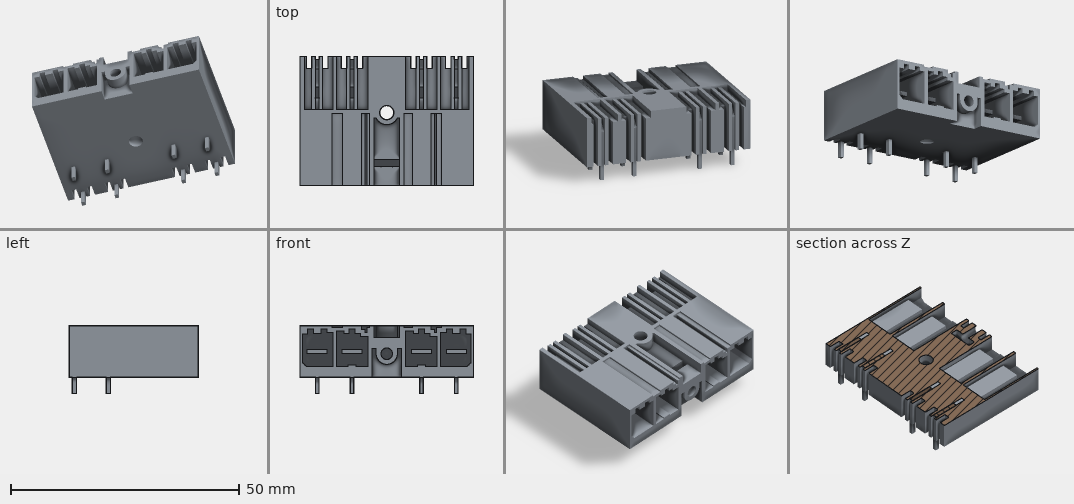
import cadquery as cq

LENGTH = 38.1
DEPTH = 28.3
HEIGHT = 11.35

PITCH = 7.62
CONTACT_XS = [step * PITCH for step in (-2, -1, 1, 2)]

CAVITY_DEPTH = 15.77
CAVITY_FLOOR = 2.4
CAVITY_ROOF = 9.65
KEYWAY_TOP = 10.63
KEYWAY_WIDTH = 1.3
OUTER_CAVITY_NEAR = 11.8
OUTER_CAVITY_FAR = 18.5
OUTER_KEYWAY_INNER = 13.05
OUTER_KEYWAY_OUTER = 16.05
OUTER_ROOF_NEAR = 9.8
OUTER_ROOF_FAR = 9.52
OUTER_CORNER_CUT = 0.88
INNER_CAVITY_NEAR = 4.15
INNER_CAVITY_FAR = 10.97
INNER_ROOF_HIGH = 10.2
INNER_ROOF_LOW = 8.9
INNER_HIGH_END = -1.7
INNER_LOW_START = 1.85
RIDGE_WIDTH = 1.83
RIDGE_HEIGHT = 0.3

SHALLOW_DEPTH = 0.42
GROOVE_LEDGE_DEPTH = 0.85
GROOVE_BOTTOM_DEPTH = 1.55
GROOVE_START = 2.05
GROOVE_DEEP_START = 2.82
GROOVE_DEEP_END = 3.3
GROOVE_INSIDE = 3.75
GROOVE_OUTSIDE = 11.95
LEFT_GROOVE_END = -9.68
RIGHT_GROOVE_END = 5.6

CHAMBER_FRONT = 16.65
CHAMBER_FLOOR = 9.75
OUTER_CHAMBER_FAR = 18.02
FIN_TOP = 10.95
FIN_WIDTH = 0.8
REAR_SLOT_WIDTH = 4.65
REAR_SLOT_FRONT = 25.68

PLATE_THICKNESS = 0.8
PLATE_FRONT = 19.2
PLATE_STEP = 21.6
PLATE_BEVEL_START = 25.55
PLATE_REAR = 27.65
PLATE_TOP = CHAMBER_FLOOR
LEG_WIDTH = 1.0
LEG_LENGTH = 3.55
BLADE_WIDTH = 4.4
BLADE_BOTTOM = 5.22
BLADE_THICKNESS = 0.88
BLADE_TIP = 4.95
BLADE_TOP = BLADE_BOTTOM + BLADE_THICKNESS

BOLT_Y = 16.0
BOLT_RADIUS = 1.52
BOLT_BOSS_RADIUS = 2.63
TOP_RECESS_WIDTH = 5.55
TOP_RECESS_REAR = 14.8
TOP_RECESS_FLOOR = 8.75
NUT_SLOT_FRONT = 4.2
NUT_SLOT_REAR = 5.75
SCREW_Z = 5.2
SCREW_RADIUS = 1.25
SCREW_BOSS_RADIUS = 2.32
FRONT_RECESS_WIDTH = 6.4
FRONT_RECESS_HEIGHT = 6.35
FRONT_RECESS_DEPTH = 2.5


def box(x_range, y_range, z_range):
    """Block spanning the given (low, high) limits on each axis."""
    sizes = [high - low for low, high in (x_range, y_range, z_range)]
    return cq.Workplane().box(*sizes, centered=False).translate((x_range[0], y_range[0], z_range[0]))


def around(centre, width):
    """(low, high) limits of a width centred on a position."""
    return (centre - width / 2, centre + width / 2)


def from_front(points, depth):
    """Prism with an X-Z outline, running from the front face towards +Y."""
    return cq.Workplane("XZ").polyline(points).close().extrude(-depth)


def outer_cavity():
    """Cavity at the +X end: two keyways in the roof and one cut floor corner."""
    inner_end = OUTER_KEYWAY_INNER + KEYWAY_WIDTH
    outer_end = OUTER_KEYWAY_OUTER + KEYWAY_WIDTH
    outline = [
        (OUTER_CAVITY_NEAR, CAVITY_FLOOR),
        (OUTER_CAVITY_NEAR, OUTER_ROOF_NEAR),
        (OUTER_KEYWAY_INNER, OUTER_ROOF_NEAR),
        (OUTER_KEYWAY_INNER, KEYWAY_TOP),
        (inner_end, KEYWAY_TOP),
        (inner_end, CAVITY_ROOF),
        (OUTER_KEYWAY_OUTER, CAVITY_ROOF),
        (OUTER_KEYWAY_OUTER, KEYWAY_TOP),
        (outer_end, KEYWAY_TOP),
        (outer_end, OUTER_ROOF_FAR),
        (OUTER_CAVITY_FAR, OUTER_ROOF_FAR),
        (OUTER_CAVITY_FAR, CAVITY_FLOOR + OUTER_CORNER_CUT),
        (OUTER_CAVITY_FAR - OUTER_CORNER_CUT, CAVITY_FLOOR),
    ]
    return from_front(outline, CAVITY_DEPTH)


def inner_cavity(contact_x, left, right):
    """Cavity beside the screw block: stepped roof, one keyway and a floor ridge."""
    high_end = contact_x + INNER_HIGH_END
    low_start = contact_x + INNER_LOW_START
    key_left, key_right = around(contact_x, KEYWAY_WIDTH)
    outline = [
        (left, CAVITY_FLOOR),
        (left, INNER_ROOF_HIGH),
        (high_end, INNER_ROOF_HIGH),
        (high_end, CAVITY_ROOF),
        (key_left, CAVITY_ROOF),
        (key_left, KEYWAY_TOP),
        (key_right, KEYWAY_TOP),
        (key_right, CAVITY_ROOF),
        (low_start, CAVITY_ROOF),
        (low_start, INNER_ROOF_LOW),
        (right, INNER_ROOF_LOW),
        (right, CAVITY_FLOOR),
    ]
    ridge = box(
        around(contact_x, RIDGE_WIDTH), (0, CAVITY_DEPTH), (CAVITY_FLOOR, CAVITY_FLOOR + RIDGE_HEIGHT)
    )
    return from_front(outline, CAVITY_DEPTH).cut(ridge)


def shallow_groove(left, right):
    """Plain coding groove in the top face."""
    return box((left, right), (0, CAVITY_DEPTH), (HEIGHT - SHALLOW_DEPTH, HEIGHT))


def stepped_groove(contact_x, right):
    """Coding groove with a ledge, a deep channel and a shallow shelf up to its right end."""
    outline = [
        (contact_x + GROOVE_START, HEIGHT),
        (contact_x + GROOVE_START, HEIGHT - GROOVE_LEDGE_DEPTH),
        (contact_x + GROOVE_DEEP_START, HEIGHT - GROOVE_LEDGE_DEPTH),
        (contact_x + GROOVE_DEEP_START, HEIGHT - GROOVE_BOTTOM_DEPTH),
        (contact_x + GROOVE_DEEP_END, HEIGHT - GROOVE_BOTTOM_DEPTH),
        (contact_x + GROOVE_DEEP_END, HEIGHT - SHALLOW_DEPTH),
        (right, HEIGHT - SHALLOW_DEPTH),
        (right, HEIGHT),
    ]
    return from_front(outline, CAVITY_DEPTH)


def rear_chamber(contact_x, left, right):
    """Space removed behind one contact: chamber and rear slot, less the two guide fins."""
    rear_slot = box(around(contact_x, REAR_SLOT_WIDTH), (REAR_SLOT_FRONT, DEPTH), (0, CHAMBER_FLOOR))
    fins = box(
        around(contact_x, PLATE_THICKNESS + 2 * FIN_WIDTH), (CHAMBER_FRONT, DEPTH), (0, FIN_TOP)
    )
    fin_gap = box(around(contact_x, PLATE_THICKNESS), (CHAMBER_FRONT, DEPTH), (CHAMBER_FLOOR, FIN_TOP))
    plate_slot = box(around(contact_x, PLATE_THICKNESS), (PLATE_FRONT, DEPTH), (0, CHAMBER_FLOOR))
    chamber = box((left, right), (CHAMBER_FRONT, DEPTH), (CHAMBER_FLOOR, HEIGHT))
    return chamber.union(rear_slot).cut(fins).union(fin_gap).union(plate_slot)


def top_recess():
    """Recess in front of the bolt boss, with a deeper slot that takes the screw's nut."""
    span = around(0, TOP_RECESS_WIDTH)
    recess = box(span, (0, TOP_RECESS_REAR), (TOP_RECESS_FLOOR, HEIGHT))
    boss = cq.Workplane().center(0, BOLT_Y).circle(BOLT_BOSS_RADIUS).extrude(HEIGHT)
    nut_slot = box(span, (NUT_SLOT_FRONT, NUT_SLOT_REAR), (SCREW_Z - SCREW_BOSS_RADIUS, HEIGHT))
    return recess.cut(boss).union(nut_slot)


def front_recess():
    """Recess in the lower front, open below, around the U-shaped screw boss."""
    recess = box(around(0, FRONT_RECESS_WIDTH), (0, FRONT_RECESS_DEPTH), (0, FRONT_RECESS_HEIGHT))
    boss = (
        cq.Workplane("XZ")
        .moveTo(-SCREW_BOSS_RADIUS, FRONT_RECESS_HEIGHT)
        .lineTo(-SCREW_BOSS_RADIUS, SCREW_Z)
        .threePointArc((0, SCREW_Z - SCREW_BOSS_RADIUS), (SCREW_BOSS_RADIUS, SCREW_Z))
        .lineTo(SCREW_BOSS_RADIUS, FRONT_RECESS_HEIGHT)
        .close()
        .extrude(-FRONT_RECESS_DEPTH)
    )
    return recess.cut(boss)


def make_contact(contact_x):
    """Contact: upright plate with two legs, and a flat blade reaching into the cavity."""
    bevel = PLATE_REAR - PLATE_BEVEL_START
    outline = [
        (PLATE_FRONT, -LEG_LENGTH),
        (PLATE_FRONT, BLADE_TOP),
        (PLATE_STEP, BLADE_TOP),
        (PLATE_STEP, PLATE_TOP),
        (PLATE_BEVEL_START, PLATE_TOP),
        (PLATE_REAR, PLATE_TOP - bevel),
        (PLATE_REAR, -LEG_LENGTH),
        (PLATE_REAR - LEG_WIDTH, -LEG_LENGTH),
        (PLATE_REAR - LEG_WIDTH, 0),
        (PLATE_FRONT + LEG_WIDTH, 0),
        (PLATE_FRONT + LEG_WIDTH, -LEG_LENGTH),
    ]
    plate = cq.Workplane("YZ").polyline(outline).close().extrude(PLATE_THICKNESS / 2, both=True)
    blade = box(around(0, BLADE_WIDTH), (BLADE_TIP, PLATE_FRONT), (BLADE_BOTTOM, BLADE_TOP))
    return plate.union(blade).translate((contact_x, 0, 0))


def make_housing(contacts):
    """Housing with every recess cut, including the seats of the given contacts."""
    left_outer, left_inner, right_inner, right_outer = CONTACT_XS
    body = box(around(0, LENGTH), (0, DEPTH), (0, HEIGHT))

    body = body.cut(outer_cavity())
    body = body.cut(outer_cavity().mirror("YZ"))
    body = body.cut(inner_cavity(left_inner, -INNER_CAVITY_FAR, -INNER_CAVITY_NEAR))
    body = body.cut(inner_cavity(right_inner, INNER_CAVITY_NEAR, INNER_CAVITY_FAR))

    body = body.cut(shallow_groove(-GROOVE_OUTSIDE, LEFT_GROOVE_END))
    body = body.cut(shallow_groove(GROOVE_INSIDE, RIGHT_GROOVE_END))
    body = body.cut(stepped_groove(left_inner, -GROOVE_INSIDE))
    body = body.cut(stepped_groove(right_inner, GROOVE_OUTSIDE))

    body = body.cut(rear_chamber(left_outer, -OUTER_CHAMBER_FAR, -OUTER_CAVITY_NEAR))
    body = body.cut(rear_chamber(left_inner, -INNER_CAVITY_FAR, -INNER_CAVITY_NEAR))
    body = body.cut(rear_chamber(right_inner, INNER_CAVITY_NEAR, INNER_CAVITY_FAR))
    body = body.cut(rear_chamber(right_outer, OUTER_CAVITY_NEAR, OUTER_CHAMBER_FAR))

    body = body.cut(top_recess())
    body = body.cut(front_recess())
    body = body.cut(cq.Workplane().center(0, BOLT_Y).circle(BOLT_RADIUS).extrude(HEIGHT))
    body = body.cut(cq.Workplane("XZ").center(0, SCREW_Z).circle(SCREW_RADIUS).extrude(-NUT_SLOT_REAR))

    for contact in contacts:
        body = body.cut(contact)
    return body


contacts = [make_contact(x) for x in CONTACT_XS]
housing = make_housing(contacts)

result = cq.Compound.makeCompound([housing.val(), *[contact.val() for contact in contacts]])